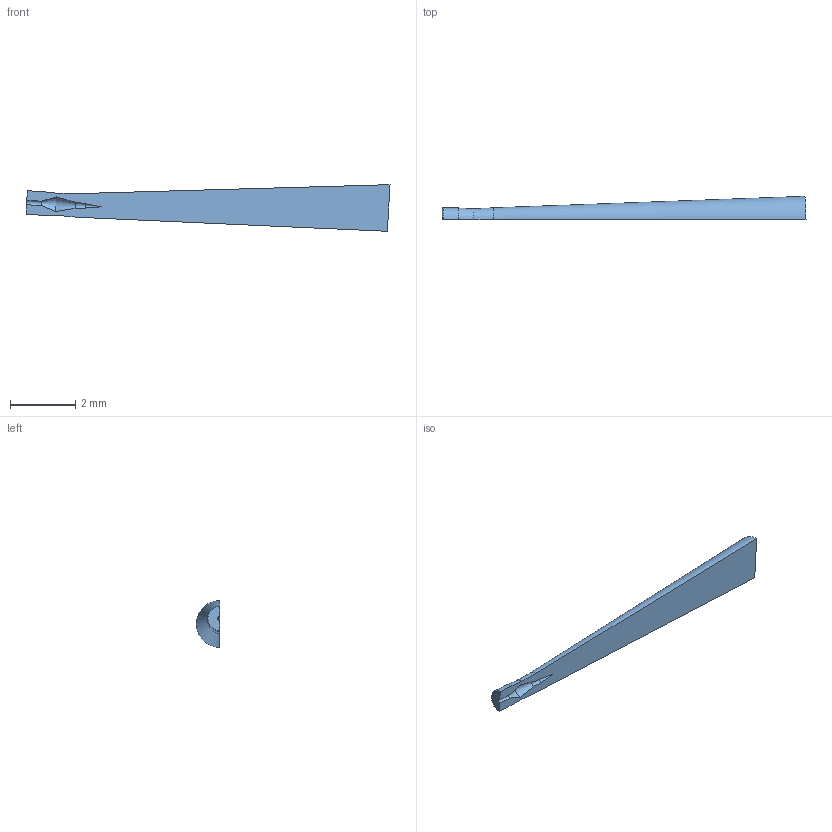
import cadquery as cq

AXIS_TILT = 3.27

TIP_RADIUS = 0.362
SHOULDER_AT = 0.465
WAIST_AT, WAIST_RADIUS = 0.936, 0.337
TIP_LENGTH = 1.54

BUTT_AT = 11.09
BUTT_RADIUS = 0.716
BUTT_OFFSET = 0.466

CHANNEL_END, CHANNEL_RADIUS = 0.455, 0.067
BELLY_AT, BELLY_RADIUS = 0.90, 0.225
NECK_AT, NECK_RADIUS = 1.49, 0.095
POINT_START, POINT_RADIUS = 1.80, 0.067
POINT_END = 2.30


def half_revolve(profile):
    """Revolve an (axial, radius) profile half a turn into the +Y side."""
    start, end = profile[0][0], profile[-1][0]
    outline = [(start, 0)] + profile
    if profile[-1][1] > 0:
        outline.append((end, 0))
    sketch = cq.Workplane("XZ").polyline(outline).close()
    return sketch.revolve(180, (0, 0, 0), (-1, 0, 0))


def half_disc(workplane, centre_z, radius):
    """Draw a half disc on a YZ plane, flat side on Y = 0."""
    return (
        workplane.moveTo(0, centre_z - radius)
        .threePointArc((radius, centre_z), (0, centre_z + radius))
        .close()
    )


def make_tip():
    return half_revolve([
        (0, TIP_RADIUS),
        (SHOULDER_AT, TIP_RADIUS),
        (WAIST_AT, WAIST_RADIUS),
        (TIP_LENGTH, TIP_RADIUS),
    ])


def make_handle():
    near_plane = cq.Workplane("YZ", origin=(TIP_LENGTH, 0, 0))
    near_end = half_disc(near_plane, 0, TIP_RADIUS)
    far_plane = near_end.workplane(offset=BUTT_AT - TIP_LENGTH)
    return half_disc(far_plane, BUTT_OFFSET, BUTT_RADIUS).loft(ruled=True)


def make_cavity():
    return half_revolve([
        (0, CHANNEL_RADIUS),
        (CHANNEL_END, CHANNEL_RADIUS),
        (BELLY_AT, BELLY_RADIUS),
        (NECK_AT, NECK_RADIUS),
        (POINT_START, POINT_RADIUS),
        (POINT_END, 0),
    ])


body = make_tip().union(make_handle()).cut(make_cavity())
result = body.rotate((0, 0, 0), (0, 1, 0), AXIS_TILT)